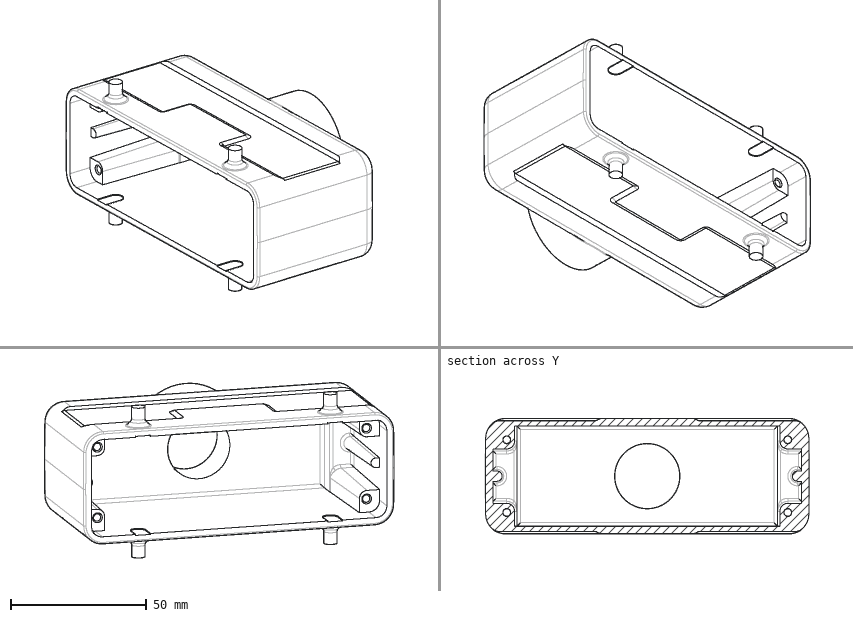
import cadquery as cq
import math

HALF_LENGTH = 60.0
END_DRAFT = 0.2
HALF_HEIGHT = 21.4
BODY_DEPTH = 55.0
CORNER_RADIUS = 7.5
BACK_RADIUS = 4.9
RIM_RADIUS = 0.7

COLLAR_DIAMETER = 41.0
COLLAR_END = 68.5
COLLAR_FILLET = 1.0
CABLE_HOLE_DIAMETER = 24.0

CAVITY_HALF_LENGTH = 57.0
CAVITY_HALF_HEIGHT = 18.5
CAVITY_CORNER_RADIUS = 4.2
BACK_WALL = 3.0
FLOOR_DEPTH = BODY_DEPTH - BACK_WALL
FLOOR_RADIUS = 1.3
LEDGE_DEPTH = 43.2
LEDGE_HALF_GAP = 48.1
LEDGE_EDGE_RADIUS = 1.1
ROOT_DEPTH = LEDGE_DEPTH + 2 * LEDGE_EDGE_RADIUS

BOSS_FACE = 9.2
BOSS_HALF_GAP_X = 49.2
BOSS_HALF_GAP_Z = 10.2
BOSS_CORNER_RADIUS = 2.9
BOSS_DRAFT = 1.6
SCREW_X = 52.0
SCREW_Z = 13.5
SCREW_DIAMETER = 2.8
SCREW_MOUTH_DIAMETER = 3.7
SCREW_DEPTH = 18.0
SCREW_LEAD_ANGLE = 45.0
SCREW_LEAD_IN = (SCREW_MOUTH_DIAMETER - SCREW_DIAMETER) / 2 / math.tan(math.radians(SCREW_LEAD_ANGLE))

RIB_FACE = 9.6
RIB_X = 55.5
RIB_TIP_RADIUS = 1.8
RIB_ROOT_RADIUS = 2.5
RIB_DRAFT = math.degrees(math.atan2(RIB_ROOT_RADIUS - RIB_TIP_RADIUS, LEDGE_DEPTH - RIB_FACE))
ROOT_FILLET = 1.1

PIN_X = 37.1
PIN_Y = 6.2
PIN_RADIUS = 2.5
PIN_SPAN = 57.0
PIN_TIP = PIN_SPAN / 2
PIN_FLARE_TOP = 24.0
PIN_NECK_RADIUS = 1.5
PIN_FOOT_RADIUS = 0.7
PIN_ROOT = 1.2
PIN_SLOT_WIDTH = 5.8
PIN_SLOT_DEPTH = 0.4
PIN_CONE_ANGLE = 45.0

PANEL_DEPTH = 0.8
PANEL_SLOPE = 1.9
PANEL_FRONT = 14.6
PANEL_BACK = 40.2
PANEL_END_X = 55.3
PANEL_OUTER_X = 56.8
PANEL_END_DROP = 0.5
NOTCH_HALF_WIDTH = 19.2
NOTCH_BACK = 27.8
NOTCH_CORNER_RADIUS = 2.3
PANEL_FLOOR = HALF_HEIGHT - PANEL_DEPTH

FIT_OVERLAP = 1.2
SELECT_MARGIN = 0.1

SIDES = (-1, 1)


def facing_mouth(y):
    """Workplane at depth y whose normal is -Y, with local axes X and Z."""
    return cq.Workplane("XZ", origin=(0, y, 0))


def box_between(x, y, z):
    size = [high - low for low, high in (x, y, z)]
    return cq.Workplane("XY").box(*size, centered=False).translate((x[0], y[0], z[0]))


def hood_body():
    flat_end = HALF_LENGTH - END_DRAFT
    outline = [
        (HALF_LENGTH, 0), (flat_end, HALF_HEIGHT), (-flat_end, HALF_HEIGHT),
        (-HALF_LENGTH, 0), (-flat_end, -HALF_HEIGHT), (flat_end, -HALF_HEIGHT),
    ]
    body = facing_mouth(0).polyline(outline).close().extrude(-BODY_DEPTH)
    body = body.edges("|Y and (>Z or <Z)").fillet(CORNER_RADIUS)
    body = body.faces(">Y").edges().fillet(BACK_RADIUS)
    return body.faces("<Y").edges().fillet(RIM_RADIUS)


def add_collar(body):
    root = BODY_DEPTH - BACK_RADIUS
    collar = facing_mouth(root).circle(COLLAR_DIAMETER / 2).extrude(root - COLLAR_END)
    joined = body.union(collar)
    reach = COLLAR_DIAMETER / 2 + SELECT_MARGIN
    seam = cq.selectors.BoxSelector(
        (-reach, root + SELECT_MARGIN, -HALF_HEIGHT),
        (reach, BODY_DEPTH + SELECT_MARGIN, HALF_HEIGHT),
    )
    return joined.edges(seam).fillet(COLLAR_FILLET)


def cavity():
    mouth = (
        facing_mouth(0).rect(2 * CAVITY_HALF_LENGTH, 2 * CAVITY_HALF_HEIGHT).extrude(-ROOT_DEPTH)
        .edges("|Y").fillet(CAVITY_CORNER_RADIUS)
    )
    deep = (
        facing_mouth(0).rect(2 * LEDGE_HALF_GAP, 2 * CAVITY_HALF_HEIGHT).extrude(-FLOOR_DEPTH)
        .faces(">Y").edges().fillet(FLOOR_RADIUS)
    )
    return mouth.union(deep)


def boss(z_side):
    """Drafted screw boss at the +X end, overlapping the cavity walls."""
    outer_x = HALF_LENGTH + CORNER_RADIUS
    outer_z = HALF_HEIGHT + CORNER_RADIUS
    size_x = outer_x - BOSS_HALF_GAP_X
    size_z = outer_z - BOSS_HALF_GAP_Z
    return (
        facing_mouth(BOSS_FACE)
        .center(BOSS_HALF_GAP_X + size_x / 2, z_side * (BOSS_HALF_GAP_Z + size_z / 2))
        .sketch().rect(size_x, size_z).vertices().fillet(BOSS_CORNER_RADIUS).finalize()
        .extrude(BOSS_FACE - ROOT_DEPTH, taper=-BOSS_DRAFT)
    )


def rib():
    """Drafted half-round rib at the +X end, overlapping the end wall."""
    length = 2 * (HALF_LENGTH - RIB_X)
    return (
        facing_mouth(RIB_FACE).center(HALF_LENGTH, 0)
        .slot2D(length + 2 * RIB_TIP_RADIUS, 2 * RIB_TIP_RADIUS)
        .extrude(RIB_FACE - ROOT_DEPTH, taper=-RIB_DRAFT)
    )


def end_fittings():
    """Ledge, bosses and rib at the +X end, trimmed to stay inside the hood wall."""
    wall_x = (CAVITY_HALF_LENGTH, HALF_LENGTH + 2 * CORNER_RADIUS)
    tall_z = (-2 * HALF_HEIGHT, 2 * HALF_HEIGHT)
    ledge = box_between((LEDGE_HALF_GAP, wall_x[1]), (LEDGE_DEPTH, FLOOR_DEPTH), tall_z)
    ledge = ledge.edges("<X and <Y").fillet(LEDGE_EDGE_RADIUS)
    block = ledge.union(box_between(wall_x, (0, FLOOR_DEPTH), tall_z))
    block = block.union(rib())
    for z_side in SIDES:
        block = block.union(boss(z_side))
    ledge_seams = cq.selectors.BoxSelector(
        (LEDGE_HALF_GAP + LEDGE_EDGE_RADIUS, LEDGE_DEPTH - SELECT_MARGIN, -HALF_HEIGHT),
        (HALF_LENGTH, LEDGE_DEPTH + SELECT_MARGIN, HALF_HEIGHT),
    )
    block = block.edges(ledge_seams).fillet(ROOT_FILLET)
    envelope = (
        facing_mouth(BOSS_FACE)
        .rect(2 * CAVITY_HALF_LENGTH + 2 * FIT_OVERLAP, 2 * CAVITY_HALF_HEIGHT + 2 * FIT_OVERLAP)
        .extrude(BOSS_FACE - FLOOR_DEPTH).edges("|Y").fillet(CAVITY_CORNER_RADIUS)
    )
    return block.intersect(envelope)


def screw_holes():
    """Blind holes in all four bosses, with a conical lead-in."""
    spots = [(x * SCREW_X, z * SCREW_Z) for x in SIDES for z in SIDES]
    holes = facing_mouth(BOSS_FACE).pushPoints(spots).circle(SCREW_DIAMETER / 2).extrude(-SCREW_DEPTH)
    cones = (
        facing_mouth(BOSS_FACE).pushPoints(spots).circle(SCREW_MOUTH_DIAMETER / 2)
        .extrude(-SCREW_LEAD_IN, taper=SCREW_LEAD_ANGLE)
    )
    return holes.union(cones)


def locking_pin():
    """Pin on the top face at X = 0: straight shank, concave neck, cone and concave foot."""
    bend = math.sin(math.radians(PIN_CONE_ANGLE))
    inset = 1 - math.cos(math.radians(PIN_CONE_ANGLE))
    spread = math.tan(math.radians(PIN_CONE_ANGLE))
    neck_end = (PIN_RADIUS + PIN_NECK_RADIUS * inset, PIN_FLARE_TOP - PIN_NECK_RADIUS * bend)
    cone_end_z = HALF_HEIGHT + PIN_FOOT_RADIUS * inset
    cone_end = (neck_end[0] + (neck_end[1] - cone_end_z) * spread, cone_end_z)
    foot = (cone_end[0] + PIN_FOOT_RADIUS * bend, HALF_HEIGHT)
    base_z = HALF_HEIGHT - PIN_ROOT
    profile = (
        cq.Workplane("XZ").moveTo(0, base_z).lineTo(0, PIN_TIP).lineTo(PIN_RADIUS, PIN_TIP)
        .lineTo(PIN_RADIUS, PIN_FLARE_TOP)
        .radiusArc(neck_end, -PIN_NECK_RADIUS)
        .lineTo(*cone_end)
        .radiusArc(foot, -PIN_FOOT_RADIUS)
        .lineTo(foot[0], base_z).close()
    )
    return profile.revolve(360, (0, 0, 0), (0, 1, 0)).translate((0, PIN_Y, 0))


def pin_slot():
    """Shallow round-ended slot behind the pin, open at the mouth."""
    top = CAVITY_HALF_HEIGHT + PIN_SLOT_DEPTH
    start = cq.Workplane("XY", origin=(0, 0, top - 2 * PIN_SLOT_DEPTH))
    channel = start.center(0, PIN_Y / 2).rect(PIN_SLOT_WIDTH, PIN_Y).extrude(2 * PIN_SLOT_DEPTH)
    return channel.union(start.center(0, PIN_Y).circle(PIN_SLOT_WIDTH / 2).extrude(2 * PIN_SLOT_DEPTH))


def label_panel():
    """Cutter for the panel on the top face: flat floor, sloping border, notch at the front."""
    reach = PANEL_OUTER_X + PANEL_SLOPE
    outline = [
        (-reach, PANEL_FRONT), (-NOTCH_HALF_WIDTH, PANEL_FRONT), (-NOTCH_HALF_WIDTH, NOTCH_BACK),
        (NOTCH_HALF_WIDTH, NOTCH_BACK), (NOTCH_HALF_WIDTH, PANEL_FRONT), (reach, PANEL_FRONT),
        (reach, PANEL_BACK), (-reach, PANEL_BACK),
    ]
    notch_roots = cq.selectors.BoxSelector(
        (-NOTCH_HALF_WIDTH - SELECT_MARGIN, NOTCH_BACK - SELECT_MARGIN, -SELECT_MARGIN),
        (NOTCH_HALF_WIDTH + SELECT_MARGIN, NOTCH_BACK + SELECT_MARGIN, SELECT_MARGIN),
    )
    floor = cq.Sketch().polygon(outline + outline[:1]).vertices(notch_roots).fillet(NOTCH_CORNER_RADIUS)
    slope_angle = math.degrees(math.atan2(PANEL_SLOPE, PANEL_DEPTH))
    start = cq.Workplane("XY", origin=(0, 0, PANEL_FLOOR))
    return start.placeSketch(floor).extrude(PANEL_DEPTH, taper=-slope_angle)


def panel_end():
    """Cutter for the sloping strip at the panel's +X end."""
    strip = [
        (PANEL_END_X, PANEL_FLOOR), (PANEL_OUTER_X, PANEL_FLOOR - PANEL_END_DROP),
        (HALF_LENGTH, PANEL_FLOOR - PANEL_END_DROP), (HALF_LENGTH, HALF_HEIGHT),
        (PANEL_END_X, HALF_HEIGHT),
    ]
    return facing_mouth(PANEL_FRONT).polyline(strip).close().extrude(PANEL_FRONT - PANEL_BACK)


def on_both_sides(shape, plane):
    return shape.union(shape.mirror(plane))


def on_all_pins(shape):
    pair = shape.translate((PIN_X, 0, 0)).union(shape.translate((-PIN_X, 0, 0)))
    return on_both_sides(pair, "XY")


panels = label_panel().union(on_both_sides(panel_end(), "YZ"))

result = add_collar(hood_body())
result = result.cut(cavity())
result = result.union(on_both_sides(end_fittings(), "YZ"))
result = result.cut(screw_holes())
result = result.cut(facing_mouth(0).circle(CABLE_HOLE_DIAMETER / 2).extrude(-COLLAR_END))
result = result.cut(on_both_sides(panels, "XY"))
result = result.union(on_all_pins(locking_pin()))
result = result.cut(on_all_pins(pin_slot()))